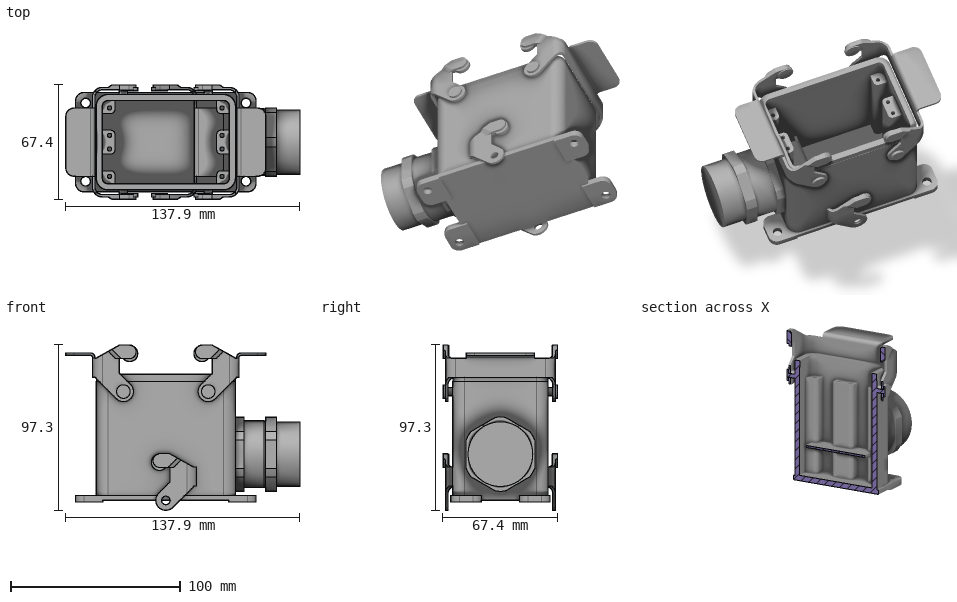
import cadquery as cq
import math


BODY_LENGTH = 82.0
BODY_WIDTH = 56.2
BODY_HEIGHT = 74.1
BODY_CORNER = 7.0
WALL = 3.7
FLOOR = 3.6
RIM_HEIGHT = 4.1
RIM_INSET = 0.1

FLANGE_LENGTH = 106.2
FLANGE_WIDTH = 58.5
FLANGE_TOP = 2.9
FOOT_BOTTOM = -1.1
FOOT_INNER_X = 36.9
FOOT_INNER_Y = 11.2
FOOT_CORNER = 5.1
MOUNT_HOLE_DIAMETER = 5.5
MOUNT_HOLE_X = 47.1
MOUNT_HOLE_Y = 23.0

POST_TOP = 61.6
POST_INNER_X = 29.9
POST_CORNER = 2.5
SCREW_HOLE_DIAMETER = 2.5
SCREW_HOLE_DEPTH = 11.0
SCREW_HOLE_X = 33.1
CORNER_HOLE_Y = 20.1
CORNER_POST_INNER_Y = 16.8
MIDDLE_HOLE_Y = 4.0
MIDDLE_POST_HALF_WIDTH = 7.0

SHEET = 1.5
LEVER_HALF_WIDTH = 32.2
BAND_OUTER_X = 18.2
BAND_BOTTOM = 8.4
BAND_TOP = 19.7
BEND_RADIUS = 5.8
EYE_RADIUS = 5.9
NECK_X = 2.3
SLOPE_END_X = 16.0
HOOK_BOTTOM = 19.3
HOOK_TOP = 27.4
HOOK_CENTRE_X = -3.5
HOOK_FLAT_END_X = 2.2
JOGGLE_START = 14.7
JOGGLE_END = 18.0
JOGGLE_RISE = 1.4
KNOB_DIAMETER = 9.5
KNOB_X = -3.7
KNOB_Z = 22.3
KNOB_INNER_Y = 30.2
TAB_END_X = 33.9
TAB_TOP = 22.7
TAB_WIDTH = 40.2
TAB_BEND_RADIUS = 2.6
TAB_CORNER = 5.0

PIVOT_X = 25.0
PIVOT_Z = 64.0
RIVET_DIAMETER = 5.0
RIVET_HEAD_DIAMETER = 8.0
RIVET_SPAN = 67.4
RIVET_HEAD_Y = RIVET_SPAN / 2

GLAND_Z = 27.1
GLAND_FLATS = 40.4
GLAND_CORNER_DIAMETER = 43.7
NUT_END = 46.0
SLEEVE_END = 57.6
SLEEVE_DIAMETER = 39.4
NECK_END = 58.7
NECK_DIAMETER = 39.0
CAP_NUT_END = 65.2
CAP_END = 79.0
CAP_DIAMETER = 38.0


def box_between(x0, x1, y0, y1, z0, z1):
    """Box given by its limits along each axis."""
    return cq.Workplane("XY").box(x1 - x0, y1 - y0, z1 - z0, centered=False).translate((x0, y0, z0))


def cylinder_along_y(diameter, x, z, y0, y1):
    """Cylinder along Y from y0 to y1."""
    circle = cq.Workplane("XZ", origin=(x, y0, z)).circle(diameter / 2)
    return circle.extrude(y0 - y1)


def both_sides(shape):
    """The shape together with its mirror image across the XZ plane."""
    return shape.union(shape.mirror("XZ"))


def lever_strip():
    """Sheet bent to a U: two side arms joined by a band at +X."""
    length = BAND_OUTER_X + EYE_RADIUS
    middle_x = (BAND_OUTER_X - EYE_RADIUS) / 2
    bottom = -EYE_RADIUS
    height = HOOK_TOP - bottom

    def bent_block(inset):
        block = cq.Workplane("XY", origin=(middle_x - inset, 0, bottom))
        block = block.rect(length, 2 * (LEVER_HALF_WIDTH - inset)).extrude(height)
        return block.edges("|Z and >X").fillet(BEND_RADIUS - inset)

    return bent_block(0).cut(bent_block(SHEET))


def joggle_top_point():
    """Point where the joggle's inner line meets the sloping top edge."""
    slope = (BAND_TOP - HOOK_TOP) / (SLOPE_END_X - HOOK_FLAT_END_X)
    x = (HOOK_TOP - slope * HOOK_FLAT_END_X - JOGGLE_START) / (1 - slope)
    return x, x + JOGGLE_START


def arm_outline():
    """Side outline of the arm, from the round pivot eye up to the joggle and over to the band."""
    tangent = EYE_RADIUS / math.sqrt(2)
    outline = (
        cq.Workplane("XZ")
        .moveTo(-tangent, tangent)
        .lineTo(NECK_X, NECK_X + 2 * tangent)
        .lineTo(NECK_X, HOOK_BOTTOM)
        .lineTo(HOOK_BOTTOM - JOGGLE_START, HOOK_BOTTOM)
        .lineTo(*joggle_top_point())
        .lineTo(SLOPE_END_X, BAND_TOP)
        .lineTo(BAND_OUTER_X, BAND_TOP)
        .lineTo(BAND_OUTER_X, BAND_BOTTOM)
        .lineTo(BAND_BOTTOM + 2 * tangent, BAND_BOTTOM)
        .lineTo(tangent, -tangent)
        .threePointArc((-tangent, -tangent), (-tangent, tangent))
        .close()
    )
    return outline.extrude(LEVER_HALF_WIDTH, both=True)


def hook():
    """Hook at +Y: a round-ended finger, thickened outwards by the joggle, with a knob on its inner face."""
    radius = (HOOK_TOP - HOOK_BOTTOM) / 2
    outline = (
        cq.Workplane("XZ")
        .moveTo(HOOK_CENTRE_X, HOOK_TOP)
        .lineTo(HOOK_FLAT_END_X, HOOK_TOP)
        .lineTo(*joggle_top_point())
        .lineTo(HOOK_BOTTOM - JOGGLE_START, HOOK_BOTTOM)
        .lineTo(HOOK_CENTRE_X, HOOK_BOTTOM)
        .threePointArc((HOOK_CENTRE_X - radius, HOOK_BOTTOM + radius), (HOOK_CENTRE_X, HOOK_TOP))
        .close()
        .extrude(-LEVER_HALF_WIDTH - JOGGLE_RISE)
    )
    start = JOGGLE_START / math.sqrt(2)
    end = JOGGLE_END / math.sqrt(2)
    reach = HOOK_TOP - HOOK_CENTRE_X
    inner_y = LEVER_HALF_WIDTH - SHEET
    across_joggle = cq.Plane(origin=(0, 0, 0), xDir=(-1, 0, 1), normal=(-1, 0, -1))
    plate = (
        cq.Workplane(across_joggle)
        .moveTo(start, inner_y)
        .lineTo(reach, inner_y)
        .lineTo(reach, LEVER_HALF_WIDTH + JOGGLE_RISE)
        .lineTo(end, LEVER_HALF_WIDTH + JOGGLE_RISE)
        .lineTo(start, LEVER_HALF_WIDTH)
        .close()
        .extrude(2 * reach, both=True)
    )
    knob = cylinder_along_y(KNOB_DIAMETER, KNOB_X, KNOB_Z, KNOB_INNER_Y, LEVER_HALF_WIDTH)
    return outline.intersect(plate).union(knob)


def handle_tab():
    """Handle: the band's middle stretch carried on upwards and bent outwards to lie flat."""
    inner_x = BAND_OUTER_X - SHEET
    inner_radius = TAB_BEND_RADIUS - SHEET
    centre_x = inner_x + TAB_BEND_RADIUS
    centre_z = TAB_TOP - TAB_BEND_RADIUS
    diagonal = math.sqrt(0.5)
    tab = (
        cq.Workplane("XZ")
        .moveTo(inner_x, BAND_BOTTOM)
        .lineTo(inner_x, centre_z)
        .threePointArc(
            (centre_x - TAB_BEND_RADIUS * diagonal, centre_z + TAB_BEND_RADIUS * diagonal),
            (centre_x, TAB_TOP),
        )
        .lineTo(TAB_END_X, TAB_TOP)
        .lineTo(TAB_END_X, TAB_TOP - SHEET)
        .lineTo(centre_x, TAB_TOP - SHEET)
        .threePointArc(
            (centre_x - inner_radius * diagonal, centre_z + inner_radius * diagonal),
            (BAND_OUTER_X, centre_z),
        )
        .lineTo(BAND_OUTER_X, BAND_BOTTOM)
        .close()
        .extrude(TAB_WIDTH / 2, both=True)
    )
    return tab.edges("|Z and >X").fillet(TAB_CORNER)


def make_lever():
    """Lever with its pivot on the Y axis and its handle towards +X."""
    lever = lever_strip().intersect(arm_outline())
    lever = lever.union(handle_tab()).union(both_sides(hook()))
    pivot_hole = cylinder_along_y(RIVET_DIAMETER, 0, 0, -LEVER_HALF_WIDTH, LEVER_HALF_WIDTH)
    return lever.cut(pivot_hole)


def rounded_block(inset, bottom, top):
    """Block with the housing's rounded plan, drawn in by an inset on every side."""
    block = cq.Workplane("XY", origin=(0, 0, bottom))
    block = block.rect(BODY_LENGTH - 2 * inset, BODY_WIDTH - 2 * inset).extrude(top - bottom)
    return block.edges("|Z").fillet(BODY_CORNER - inset)


def housing_shell():
    """Rounded box, open at the top, whose rim is drawn in slightly inside and out."""
    rim_bottom = BODY_HEIGHT - RIM_HEIGHT
    shell = rounded_block(0, 0, rim_bottom).union(rounded_block(RIM_INSET, rim_bottom, BODY_HEIGHT))
    cavity = rounded_block(WALL - RIM_INSET, FLOOR, rim_bottom)
    return shell.cut(cavity).cut(rounded_block(WALL, rim_bottom, BODY_HEIGHT))


def flange():
    """Strips along both long walls, ending in thicker rounded feet with mounting holes."""
    half_length = FLANGE_LENGTH / 2
    half_width = FLANGE_WIDTH / 2
    strip = box_between(-FOOT_INNER_X, FOOT_INNER_X, FOOT_INNER_Y, half_width, 0, FLANGE_TOP)
    foot = box_between(FOOT_INNER_X, half_length, FOOT_INNER_Y, half_width, FOOT_BOTTOM, FLANGE_TOP)
    foot = foot.edges("|Z and >X").fillet(FOOT_CORNER)
    hole = cq.Workplane("XY", origin=(MOUNT_HOLE_X, MOUNT_HOLE_Y, FOOT_BOTTOM))
    foot = foot.cut(hole.circle(MOUNT_HOLE_DIAMETER / 2).extrude(FLANGE_TOP - FOOT_BOTTOM))
    return both_sides(strip.union(foot).union(foot.mirror("YZ")))


def screw_post(y0, y1, rounded_edges, hole_ys):
    """Post on the +X wall, standing on the floor, with blind screw holes in its top."""
    wall_x = BODY_LENGTH / 2 - WALL / 2
    post = box_between(POST_INNER_X, wall_x, y0, y1, FLOOR / 2, POST_TOP)
    post = post.edges(rounded_edges).fillet(POST_CORNER)
    points = [(SCREW_HOLE_X, y) for y in hole_ys]
    holes = cq.Workplane("XY", origin=(0, 0, POST_TOP)).pushPoints(points)
    return post.cut(holes.circle(SCREW_HOLE_DIAMETER / 2).extrude(-SCREW_HOLE_DEPTH))


def screw_posts():
    """A post in each corner and a double one at the middle of each short wall."""
    wall_y = BODY_WIDTH / 2 - WALL
    corner = screw_post(CORNER_POST_INNER_Y, wall_y + WALL / 2, "|Z and <X and <Y", [CORNER_HOLE_Y])
    middle = screw_post(
        -MIDDLE_POST_HALF_WIDTH,
        MIDDLE_POST_HALF_WIDTH,
        "|Z and <X",
        [-MIDDLE_HOLE_Y, MIDDLE_HOLE_Y],
    )
    posts = both_sides(corner).union(middle)
    posts = posts.union(posts.mirror("YZ"))
    return posts.intersect(rounded_block(WALL / 2, 0, POST_TOP))


def rivets():
    """Four headed rivets standing out of the long walls."""
    wall_y = BODY_WIDTH / 2 - WALL / 2
    shank = cylinder_along_y(RIVET_DIAMETER, PIVOT_X, PIVOT_Z, wall_y, LEVER_HALF_WIDTH)
    head = cylinder_along_y(RIVET_HEAD_DIAMETER, PIVOT_X, PIVOT_Z, LEVER_HALF_WIDTH, RIVET_HEAD_Y)
    pair = both_sides(shank.union(head))
    return pair.union(pair.mirror("YZ"))


def make_housing(inset_lever):
    """Housing with slots that fit the lever let into its walls."""
    housing = housing_shell().union(flange()).union(screw_posts()).union(rivets())
    return housing.cut(inset_lever)


def gland_disc(diameter, x0, x1):
    """Round stretch of the gland from x0 to x1."""
    return cq.Workplane("YZ", origin=(x0, 0, GLAND_Z)).circle(diameter / 2).extrude(x1 - x0)


def gland_nut(x0, x1):
    """Hexagon with a corner upwards and its corners turned round."""
    across_corners = GLAND_FLATS / math.cos(math.pi / 6)
    hexagon = cq.Workplane("YZ", origin=(x0, 0, GLAND_Z)).transformed(rotate=(0, 0, 90))
    hexagon = hexagon.polygon(6, across_corners).extrude(x1 - x0)
    return hexagon.intersect(gland_disc(GLAND_CORNER_DIAMETER, x0, x1))


def make_gland():
    """Cable gland against the +X wall."""
    gland = gland_nut(BODY_LENGTH / 2, NUT_END)
    gland = gland.union(gland_disc(SLEEVE_DIAMETER, NUT_END, SLEEVE_END))
    gland = gland.union(gland_disc(NECK_DIAMETER, SLEEVE_END, NECK_END))
    gland = gland.union(gland_nut(NECK_END, CAP_NUT_END))
    return gland.union(gland_disc(CAP_DIAMETER, CAP_NUT_END, CAP_END))


lever_places = [
    (-PIVOT_X, PIVOT_Z, 180),
    (PIVOT_X, PIVOT_Z, 0),
    (0, 0, 0),
]
levers = []
for pivot_x, pivot_z, turn in lever_places:
    lever = make_lever().rotate((0, 0, 0), (0, 0, 1), turn)
    levers.append(lever.translate((pivot_x, 0, pivot_z)))

housing = make_housing(levers[-1])
gland = make_gland()

result = cq.Compound.makeCompound([housing.val(), gland.val(), *[lever.val() for lever in levers]])